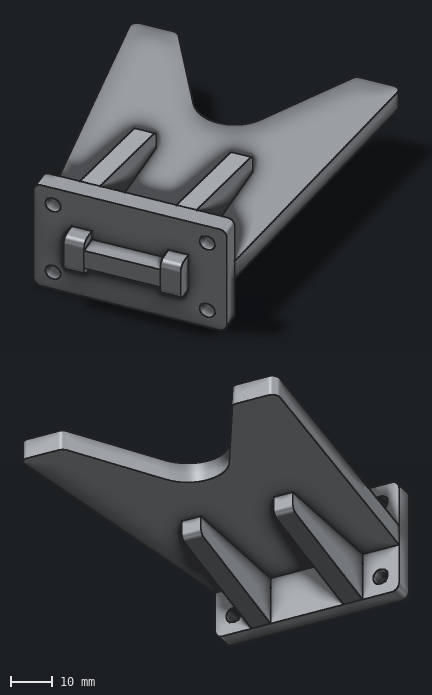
import cadquery as cq
import math

plate_width = 50.0
plate_height = 30.0
plate_thickness = 5.0
corner_radius = 2.0

screw_hole_diameter = 4.0
screw_pitch_x = 40.0
screw_pitch_z = 20.0

board_thickness = 5.2
tenon_projection = 4.95
tenon_front_y = -plate_thickness - tenon_projection

fork_length = 90 + tenon_front_y
fork_tip_width = 70.0
notch_depth = 30.0
notch_radius = 10.0
notch_side_angle = math.radians(60)

rib_pitch = 25.0
rib_length = 35.0
rib_end_height = 14.9
rib_tenon_height = 10.2
tongue_width = rib_pitch - board_thickness


def box_between(x_size, y_min, y_max, z_size):
    """Box centred on X and Z, running from y_min to y_max."""
    return cq.Workplane("XY").box(x_size, y_max - y_min, z_size).translate((0, (y_min + y_max) / 2, 0))


def make_rib(x_center):
    """Tapered upright rib with a rounded tenon that passes through the plate."""
    taper = (
        cq.Workplane("YZ")
        .polyline([
            (0, -plate_height / 2),
            (rib_length, -rib_end_height / 2),
            (rib_length, rib_end_height / 2),
            (0, plate_height / 2),
        ])
        .close()
        .extrude(board_thickness / 2, both=True)
        .edges(">Y and |X")
        .fillet(corner_radius)
    )
    tenon = (
        box_between(board_thickness, tenon_front_y, 0, rib_tenon_height)
        .edges("<Y and |X")
        .fillet(corner_radius)
    )
    return taper.union(tenon).translate((x_center, 0, 0))


def make_notch():
    """V notch with 60 degree sides tangent to a round bottom."""
    center_y = fork_length - notch_depth + notch_radius
    tangent_x = notch_radius * math.sin(notch_side_angle)
    tangent_y = center_y - notch_radius * math.cos(notch_side_angle)
    mouth_x = tangent_x + (fork_length - tangent_y) / math.tan(notch_side_angle)
    return (
        cq.Workplane("XY")
        .moveTo(-mouth_x, fork_length)
        .lineTo(-tangent_x, tangent_y)
        .threePointArc((0, center_y - notch_radius), (tangent_x, tangent_y))
        .lineTo(mouth_x, fork_length)
        .close()
        .extrude(board_thickness / 2, both=True)
    )


def make_fork(ribs):
    """Flat flared fork, slotted around the ribs, with a tongue through the plate."""
    blade = (
        cq.Workplane("XY")
        .polyline([
            (-plate_width / 2, 0),
            (plate_width / 2, 0),
            (fork_tip_width / 2, fork_length),
            (-fork_tip_width / 2, fork_length),
        ])
        .close()
        .extrude(board_thickness / 2, both=True)
        .cut(make_notch())
        .edges(">Y and |Z")
        .fillet(corner_radius)
    )
    tongue = box_between(tongue_width, tenon_front_y, 0, board_thickness)
    fork = blade.union(tongue)
    for rib in ribs:
        fork = fork.cut(rib)
    return fork


def make_plate(inserts):
    """Rounded mounting plate with four screw holes and openings for the inserted tenons."""
    plate = (
        box_between(plate_width, -plate_thickness, 0, plate_height)
        .edges("|Y")
        .fillet(corner_radius)
        .faces("<Y")
        .workplane(centerOption="CenterOfBoundBox")
        .rect(screw_pitch_x, screw_pitch_z, forConstruction=True)
        .vertices()
        .hole(screw_hole_diameter)
    )
    for insert in inserts:
        plate = plate.cut(insert)
    return plate


ribs = [make_rib(side * rib_pitch / 2) for side in (-1, 1)]
fork = make_fork(ribs)
plate = make_plate([fork, *ribs])

result = cq.Compound.makeCompound([plate.val(), fork.val(), *[rib.val() for rib in ribs]])